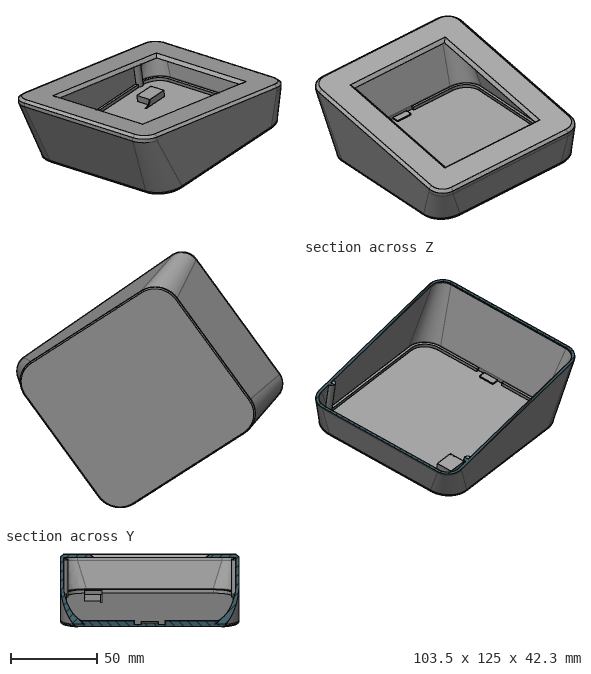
import cadquery as cq
import math

width = 103.5
length = 125.0
rim_height = 3.7
rim_radius = 10.0
rim_chamfer_in = 1.9
rim_chamfer_down = 1.5

tilt = 10.0
base_back_y = 62.3
base_back_depth = 21.9
base_length = 109.5
base_radius = 15.0

wall = 2.0
roof = 2.0
window_width = 69.0
window_length = 90.6
window_y = -0.2

boss_radius = 2.5
boss_x = width / 2 - wall
boss_from_back = 15.2

plate_thickness = 1.5
plate_chamfer = 0.7
lip_width = 1.6
lip_height = 2.0
lip_gap = 17.7
boss_clearance = 0.2

seat_height = 2.5

tongue_width = 9.9
tongue_back_y = -39.0
tongue_height = 0.7
tongue_radius = 0.5

pad_right_x = -27.6
pad_front_y = 32.2
pad_width = 10.0
pad_length = 12.5
pad_height = 4.0
gusset_thickness = 0.7

tilt_rad = math.radians(tilt)
cos_tilt = math.cos(tilt_rad)
tilt_normal = cq.Vector(0, -math.sin(tilt_rad), cos_tilt)
back_edge = cq.Vector(0, base_back_y, -base_back_depth)
lowest_tilted_face = cq.selectors.DirectionMinMaxSelector(tilt_normal, False)


def flat_plane(z):
    """Horizontal plane at height z; the top face of the housing is z = 0."""
    return cq.Workplane("XY", origin=(0, 0, z))


def tilted_plane(height=0.0):
    """Plane parallel to the base; its local Y is 0 at the back edge and negative towards the front."""
    origin = back_edge + tilt_normal * height
    return cq.Workplane(cq.Plane(origin=origin, xDir=(1, 0, 0), normal=tilt_normal))


def along_base(y):
    """Local Y on the tilted base for a given global Y."""
    return (y - base_back_y) / cos_tilt


def rounded_box(plane, size_x, size_y, radius, height, center_y=0.0):
    """Block standing on a plane, with its four upright edges rounded."""
    upright = cq.selectors.ParallelDirSelector(plane.plane.zDir)
    return (
        plane.center(0, center_y).rect(size_x, size_y).extrude(height)
        .edges(upright).fillet(radius)
    )


def rim_block(inset, height):
    """Straight block under z = 0, down to the foot of the rim."""
    return rounded_box(
        flat_plane(-rim_height), width - 2 * inset, length - 2 * inset, rim_radius - inset, height)


def base_block(inset, height, start=0.0):
    """Block standing on the tilted base, with the base outline moved in by the inset."""
    return rounded_box(
        tilted_plane(start), width - 2 * inset, base_length - 2 * inset, base_radius - inset,
        height, -base_length / 2)


def skirt(inset, foot=0.0):
    """Solid that blends from the rim outline to the base outline, ending at foot above the base."""
    top = rim_block(inset, rim_height).faces("<Z").wires().val()
    bottom = base_block(inset, seat_height, foot).faces(lowest_tilted_face).wires().val()
    return cq.Workplane(cq.Solid.makeLoft([top, bottom]))


def window_cutter():
    """Window through the roof, narrowing downwards at 45 degrees."""
    return (
        flat_plane(0).center(0, window_y).rect(window_width, window_length)
        .extrude(-roof, taper=45)
    )


def bosses(radius):
    """Pair of cylinders standing on the base, one at each side wall."""
    spots = [(side * boss_x, -boss_from_back) for side in (-1, 1)]
    return tilted_plane().pushPoints(spots).circle(radius).extrude(base_back_depth)


def make_housing():
    """Hollow wedge-shaped housing, open at the base and with a window in its roof."""
    rim = rim_block(0, rim_height).faces(">Z").chamfer(rim_chamfer_down, rim_chamfer_in)
    outside = rim.union(skirt(0))
    seat = base_block(wall, seat_height)
    inside = rim_block(wall, rim_height - roof).union(skirt(wall, seat_height)).union(seat)
    inner_bosses = bosses(boss_radius).intersect(inside)
    return outside.cut(inside).cut(window_cutter()).union(inner_bosses)


def make_lip():
    """Ring inside the foot of the housing, open for the tongue and the bosses."""
    ring = base_block(wall, lip_height).cut(base_block(wall + lip_width, lip_height))
    reach = wall + lip_width
    gap = (
        tilted_plane().center(0, reach / 2 - base_length).rect(lip_gap, reach).extrude(lip_height)
    )
    return ring.cut(gap).cut(bosses(boss_radius + boss_clearance))


def make_tongue():
    """Low raised tongue at the middle of the front edge."""
    back = along_base(tongue_back_y)
    front = wall - base_length
    return (
        tilted_plane().center(0, (back + front) / 2).rect(tongue_width, back - front)
        .extrude(tongue_height)
        .edges(cq.selectors.ParallelDirSelector(tilt_normal)).edges(">Y").fillet(tongue_radius)
    )


def make_pad():
    """Raised pad whose thin gusset runs down to the plate in a quarter circle."""
    front = along_base(pad_front_y)
    block = (
        tilted_plane().center(pad_right_x - pad_width / 2, front + pad_length / 2)
        .rect(pad_width, pad_length).extrude(pad_height)
    )
    gusset = (
        tilted_plane().center(pad_right_x - gusset_thickness / 2, front - pad_height / 2)
        .rect(gusset_thickness, pad_height).extrude(pad_height)
    )
    hollow = (
        cq.Workplane(cq.Plane(origin=back_edge, xDir=(0, cos_tilt, math.sin(tilt_rad)), normal=(1, 0, 0)))
        .center(front - pad_height, pad_height).circle(pad_height).extrude(width, both=True)
    )
    return block.union(gusset.cut(hollow))


def make_plate():
    """Base plate closing the housing, chamfered around its lower edge."""
    plate = base_block(0, -plate_thickness).faces(lowest_tilted_face).chamfer(plate_chamfer)
    return plate.union(make_lip()).union(make_tongue()).union(make_pad())


housing = make_housing()
plate = make_plate()
result = cq.Compound.makeCompound([housing.val(), plate.val()])